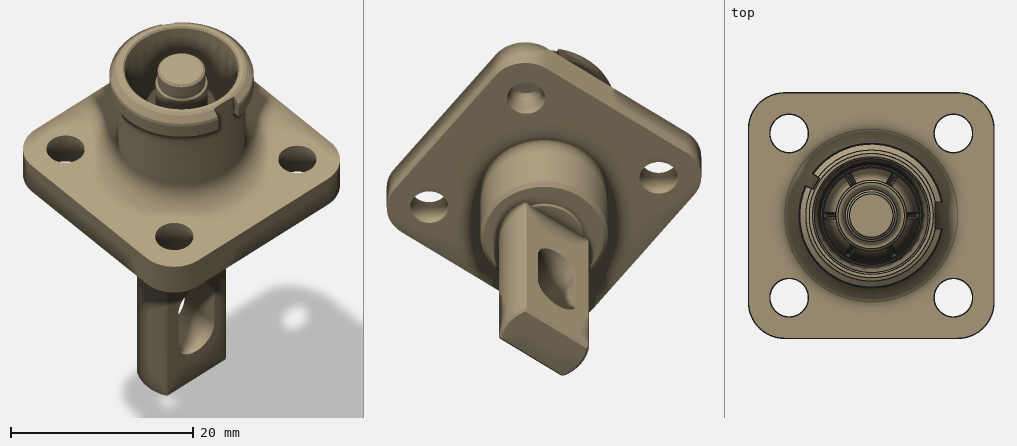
import cadquery as cq
import math

total_height = 46.7
flange_thickness = 4.0
flange_top_z = 33.2
flange_bottom_z = flange_top_z - flange_thickness
lower_body_bottom_z = 20.75

flange_side = 27.0
flange_corner_radius = 4.0
hole_spacing = 18.03
hole_diameter = 4.2

body_radius = 7.0
root_fillet = 2.48
lower_chamfer = 0.4
boss_radius = 4.35
boss_height = 0.3
boss_chamfer = 0.15

collar_radius = 7.95
collar_height = 2.75
collar_edge_drop = 1.15
collar_bevel = 0.65
collar_bevel_top_radius = 7.2
rim_edge_drop = 0.2
rim_outer_radius = 6.8
rim_inner_radius = 6.45
wide_notch_width = 3.0
narrow_notch_span = 11.4
narrow_notch_angle = 150
notch_outer_radius = collar_radius + 0.45

bore_mouth_radius = 6.25
bore_mouth_chamfer = rim_inner_radius - bore_mouth_radius
bore_floor_radius = 5.55
bore_floor_z = 36.9
sleeve_foot_radius = 5.35
sleeve_foot_height = 0.15
sleeve_cone_base_radius = 5.25
sleeve_cone_top_radius = 3.88
sleeve_top_radius = 3.65
sleeve_top_z = 41.1
sleeve_edge_drop = 0.25
groove_count = 6
groove_half_width = 0.37
groove_floor_half_width = 0.1
groove_depth = 0.4
groove_top_margin = 0.37

pin_radius = 2.6
pin_shoulder_radius = 2.85
pin_shoulder_drop = 0.2
pin_shoulder_z = 44.55
pin_top_radius = 2.4
pin_top_chamfer = pin_radius - pin_top_radius
pin_top_z = 46.5

blade_diameter = 10.0
blade_thickness = 5.0
blade_edge_chamfer = 0.15
blade_tip_chamfer = 0.3
slot_width = 5.3
slot_length = 10.25
slot_center_z = 9.55


def make_flange():
    return (
        cq.Workplane("XY")
        .workplane(offset=flange_bottom_z)
        .rect(flange_side, flange_side)
        .extrude(flange_thickness)
        .edges("|Z")
        .fillet(flange_corner_radius)
        .faces(">Z")
        .workplane()
        .rect(hole_spacing, hole_spacing, forConstruction=True)
        .vertices()
        .hole(hole_diameter)
    )


def make_lower_body():
    body = (
        cq.Workplane("XY")
        .workplane(offset=lower_body_bottom_z)
        .circle(body_radius)
        .extrude(flange_bottom_z - lower_body_bottom_z)
        .faces("<Z")
        .chamfer(lower_chamfer)
    )
    boss = (
        cq.Workplane("XY")
        .workplane(offset=lower_body_bottom_z)
        .circle(boss_radius)
        .extrude(-boss_height)
        .faces("<Z")
        .chamfer(boss_chamfer)
    )
    return body.union(boss)


def make_socket():
    """Revolved half section of the upper body, from the flare to the contact pin."""
    root_radius = body_radius + root_fillet
    root_top_z = flange_top_z + root_fillet
    root_mid_step = root_fillet * (1 - math.sqrt(0.5))
    rim_edge_z = total_height - rim_edge_drop
    section = (
        cq.Workplane("XZ")
        .moveTo(0, flange_bottom_z)
        .lineTo(body_radius, flange_bottom_z)
        .lineTo(body_radius, flange_top_z)
        .lineTo(root_radius, flange_top_z)
        .threePointArc(
            (body_radius + root_mid_step, flange_top_z + root_mid_step),
            (body_radius, root_top_z),
        )
        .lineTo(body_radius, rim_edge_z - rim_edge_drop)
        .lineTo(rim_outer_radius, total_height)
        .lineTo(rim_inner_radius, total_height)
        .lineTo(bore_mouth_radius, total_height - bore_mouth_chamfer)
        .lineTo(bore_floor_radius, bore_floor_z)
        .lineTo(sleeve_foot_radius, bore_floor_z)
        .lineTo(sleeve_cone_base_radius, bore_floor_z + sleeve_foot_height)
        .lineTo(sleeve_cone_top_radius, sleeve_top_z - sleeve_edge_drop)
        .lineTo(sleeve_top_radius, sleeve_top_z)
        .lineTo(pin_shoulder_radius, sleeve_top_z)
        .lineTo(pin_shoulder_radius, pin_shoulder_z - pin_shoulder_drop)
        .lineTo(pin_radius, pin_shoulder_z)
        .lineTo(pin_radius, pin_top_z - pin_top_chamfer)
        .lineTo(pin_top_radius, pin_top_z)
        .lineTo(0, pin_top_z)
        .close()
    )
    return section.revolve(360, (0, 0), (0, 1))


def make_wide_notch():
    """Parallel-walled cutter that opens the collar down to the body radius."""
    reach = notch_outer_radius - body_radius
    return (
        cq.Workplane("XY")
        .workplane(offset=total_height - collar_height)
        .center(body_radius + reach / 2, 0)
        .rect(reach, wide_notch_width)
        .extrude(collar_height)
    )


def make_narrow_notch():
    """Cutter with radial walls that opens the collar down to the body radius."""
    return (
        cq.Workplane("XZ")
        .moveTo(body_radius, total_height - collar_height)
        .lineTo(notch_outer_radius, total_height - collar_height)
        .lineTo(notch_outer_radius, total_height)
        .lineTo(body_radius, total_height)
        .close()
        .revolve(narrow_notch_span, (0, 0), (0, 1))
        .rotate((0, 0, 0), (0, 0, 1), narrow_notch_angle - narrow_notch_span / 2)
    )


def make_collar():
    rim_edge_z = total_height - rim_edge_drop
    collar = (
        cq.Workplane("XZ")
        .moveTo(rim_outer_radius, total_height - collar_height)
        .lineTo(collar_radius, total_height - collar_height)
        .lineTo(collar_radius, total_height - collar_edge_drop)
        .lineTo(collar_bevel_top_radius + collar_bevel, rim_edge_z - collar_bevel)
        .lineTo(collar_bevel_top_radius, rim_edge_z)
        .lineTo(rim_outer_radius, total_height)
        .close()
        .revolve(360, (0, 0), (0, 1))
    )
    return collar.cut(make_wide_notch()).cut(make_narrow_notch())


def make_grooves():
    """Tapered cutters that follow the cone of the inner sleeve."""
    foot_z = bore_floor_z + sleeve_foot_height
    cone_run = sleeve_cone_base_radius - sleeve_cone_top_radius
    cone_rise = sleeve_top_z - sleeve_edge_drop - foot_z
    lean = math.degrees(math.atan2(cone_run, cone_rise))
    length = math.hypot(cone_run, cone_rise) - groove_top_margin
    wall_flare = (groove_half_width - groove_floor_half_width) / groove_depth
    mouth_half_width = groove_half_width + groove_depth * wall_flare
    groove = (
        cq.Workplane("XY")
        .polyline([
            (-groove_depth, -groove_floor_half_width),
            (groove_depth, -mouth_half_width),
            (groove_depth, mouth_half_width),
            (-groove_depth, groove_floor_half_width),
        ])
        .close()
        .extrude(length)
        .rotate((0, 0, 0), (0, 1, 0), -lean)
        .translate((sleeve_cone_base_radius, 0, foot_z))
    )
    grooves = groove
    for index in range(1, groove_count):
        grooves = grooves.union(groove.rotate((0, 0, 0), (0, 0, 1), index * 360 / groove_count))
    return grooves


def make_blade():
    flats = cq.Workplane("XY").box(
        blade_thickness, blade_diameter, lower_body_bottom_z, centered=(True, True, False)
    )
    blade = (
        cq.Workplane("XY")
        .circle(blade_diameter / 2)
        .extrude(lower_body_bottom_z)
        .intersect(flats)
        .edges("|Z")
        .chamfer(blade_edge_chamfer)
        .faces("<Z")
        .chamfer(blade_tip_chamfer)
    )
    slot = (
        cq.Workplane("YZ")
        .center(0, slot_center_z)
        .slot2D(slot_length, slot_width, 90)
        .extrude(blade_thickness, both=True)
    )
    return blade.cut(slot)


result = (
    make_socket()
    .union(make_collar())
    .cut(make_grooves())
    .union(make_flange())
    .union(make_lower_body())
    .union(make_blade())
)